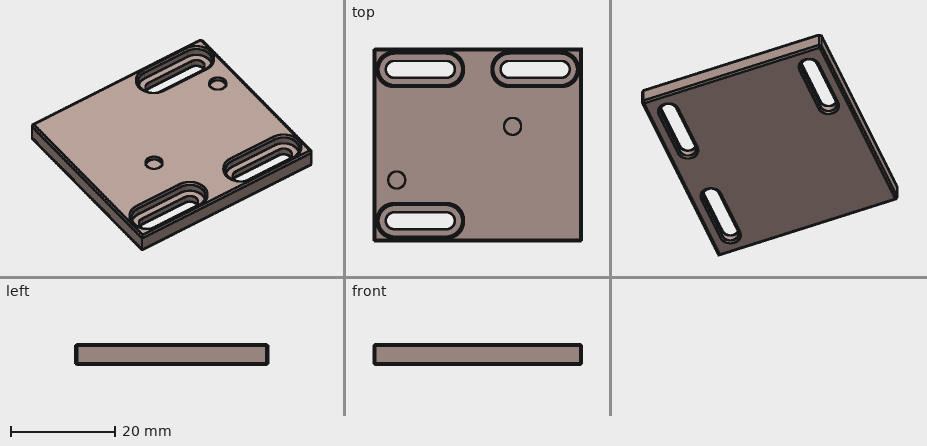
import cadquery as cq

length = 40.0
width = 37.0
thickness = 4.0
edge_chamfer = 0.4

slot_travel = 10.0
slot_width = 3.2
pocket_width = 6.0
slot_chamfer = 0.4
pocket_depth = 2.0
slot_inset_x = 9.0
slot_inset_y = 4.0

pin_diameter = 3.3
pin_depth = 0.8
pin_places = [(4.5, 11.8), (26.7, 22.1)]

slot_x = length / 2 - slot_inset_x
slot_y = width / 2 - slot_inset_y
slot_centres = [(-slot_x, slot_y), (slot_x, slot_y), (-slot_x, -slot_y)]


def make_plate():
    """Plate with every outer edge chamfered, except the upright edge at the +X, +Y corner."""
    plate = cq.Workplane("XY").box(length, width, thickness, centered=(True, True, False))
    square_corner = plate.edges("|Z").edges(">(1, 1, 0)").val()
    chamfered_edges = [edge for edge in plate.edges().vals() if not edge.isSame(square_corner)]
    return plate.newObject(chamfered_edges).chamfer(edge_chamfer)


def make_slot_prism(slot_size, bottom, top):
    """Round-ended bar along X, centred on the Z axis."""
    sketch = cq.Workplane("XY").workplane(offset=bottom)
    return sketch.slot2D(slot_travel + slot_size, slot_size).extrude(top - bottom)


def make_flare(mouth_width, flare_height):
    """Bar whose lower end tapers at 45 degrees out to its full width, from Z = 0 up."""
    bar = make_slot_prism(mouth_width, 0, thickness)
    return bar.faces("<Z").edges().chamfer(flare_height)


def make_slot_cutter():
    """Through slot with a chamfered mouth below, and a wider pocket with a chamfered rim above."""
    through = make_slot_prism(slot_width, 0, thickness)
    pocket = make_slot_prism(pocket_width, thickness - pocket_depth, thickness)
    rim = make_flare(pocket_width + 2 * slot_chamfer, slot_chamfer)
    rim = rim.translate((0, 0, thickness - slot_chamfer))
    mouth = make_flare(slot_width + 2 * slot_chamfer, slot_chamfer)
    mouth = mouth.mirror("XY").translate((0, 0, slot_chamfer))
    return through.union(pocket).union(rim).union(mouth)


def make_pin_holes():
    """Blind holes sunk from the top face."""
    centres = [(x - length / 2, y - width / 2) for x, y in pin_places]
    sketch = cq.Workplane("XY").workplane(offset=thickness - pin_depth)
    return sketch.pushPoints(centres).circle(pin_diameter / 2).extrude(pin_depth)


result = make_plate()
slot_cutter = make_slot_cutter()
for x, y in slot_centres:
    result = result.cut(slot_cutter.translate((x, y, 0)))
result = result.cut(make_pin_holes())